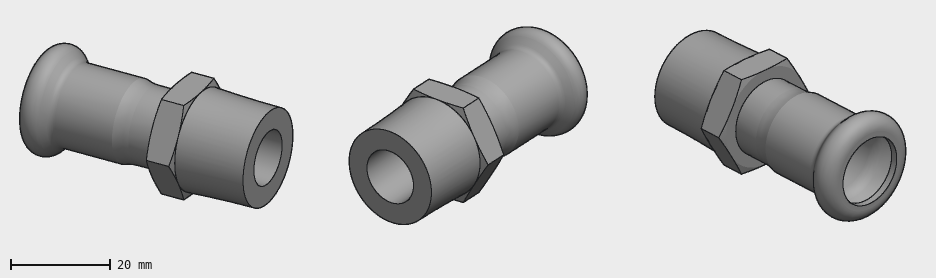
import cadquery as cq
import math

length = 52.0
wall = 1.5

bead_diameter = 23.5
bead_radius = 3.0
socket_radius = 18.0 / 2
socket_bore_radius = socket_radius - wall
bead_center_radius = bead_diameter / 2 - bead_radius
bead_blend_radius = 2.0
socket_end = 21.05

neck_radius = 16.8 / 2
neck_start = 24.5
bore_radius = 11.85 / 2

hex_start = 30.45
hex_end = 36.55
hex_corner_diameter = 25.4
hex_across_flats = hex_corner_diameter * math.cos(math.pi / 6)
hex_chamfer_length = 0.45

male_root_radius = 22.0 / 2
male_tip_radius = 21.0 / 2

DIAGONAL = math.sqrt(0.5)
flank_sum = bead_radius + bead_center_radius + bead_radius / DIAGONAL
blend_center_radius = socket_radius + bead_blend_radius
blend_center_x = flank_sum - blend_center_radius + bead_blend_radius / DIAGONAL


def on_arc(center, radius, degrees):
    """Point (x, radial distance) on an arc in the profile plane."""
    angle = math.radians(degrees)
    return center[0] + radius * math.cos(angle), center[1] + radius * math.sin(angle)


def add_bead_wall(profile, inset):
    """Trace one wall surface from the bead front to the straight socket."""
    bead_center = (bead_radius, bead_center_radius)
    blend_center = (blend_center_x, blend_center_radius)
    radius = bead_radius - inset
    blend = bead_blend_radius + inset
    return (
        profile.lineTo(*on_arc(bead_center, radius, 180))
        .threePointArc(on_arc(bead_center, radius, 112.5), on_arc(bead_center, radius, 45))
        .lineTo(*on_arc(blend_center, blend, 225))
        .threePointArc(on_arc(blend_center, blend, 247.5), on_arc(blend_center, blend, 270))
    )


def add_concave_taper(profile, start, end):
    """Narrow from start to end along an arc that finishes parallel to the axis."""
    run = end[0] - start[0]
    drop = start[1] - end[1]
    radius = (run**2 + drop**2) / (2 * drop)
    half_angle = math.degrees(math.asin(run / radius)) / 2
    center = (end[0], end[1] + radius)
    return profile.threePointArc(on_arc(center, radius, 270 - half_angle), end)


def revolve_about_x(profile):
    return profile.close().revolve(360, (0, 0, 0), (1, 0, 0))


def make_body():
    profile = add_bead_wall(cq.Workplane("XY").lineTo(0, socket_bore_radius), 0)
    profile = profile.lineTo(socket_end, socket_radius)
    profile = add_concave_taper(profile, (socket_end, socket_radius), (neck_start, neck_radius))
    profile = profile.lineTo(hex_end, neck_radius).lineTo(hex_end, male_root_radius)
    profile = add_concave_taper(profile, (hex_end, male_root_radius), (length, male_tip_radius))
    return revolve_about_x(profile.lineTo(length, 0))


def make_hexagon():
    corner_radius = hex_corner_diameter / 2
    face_radius = hex_across_flats / 2
    prism = (
        cq.Workplane("YZ", origin=(hex_start, 0, 0))
        .polygon(6, hex_corner_diameter)
        .extrude(hex_end - hex_start)
    )
    chamfer_envelope = revolve_about_x(
        cq.Workplane("XY")
        .moveTo(hex_start, 0)
        .lineTo(hex_start, face_radius)
        .lineTo(hex_start + hex_chamfer_length, corner_radius)
        .lineTo(hex_end - hex_chamfer_length, corner_radius)
        .lineTo(hex_end, face_radius)
        .lineTo(hex_end, 0)
    )
    return prism.intersect(chamfer_envelope)


def make_bore():
    profile = (
        cq.Workplane("XY")
        .lineTo(0, socket_bore_radius)
        .lineTo(wall, socket_bore_radius)
    )
    profile = (
        add_bead_wall(profile, wall)
        .lineTo(socket_end, socket_bore_radius)
        .lineTo(socket_end, bore_radius)
        .lineTo(length, bore_radius)
        .lineTo(length, 0)
    )
    return revolve_about_x(profile)


result = make_body().union(make_hexagon()).cut(make_bore())